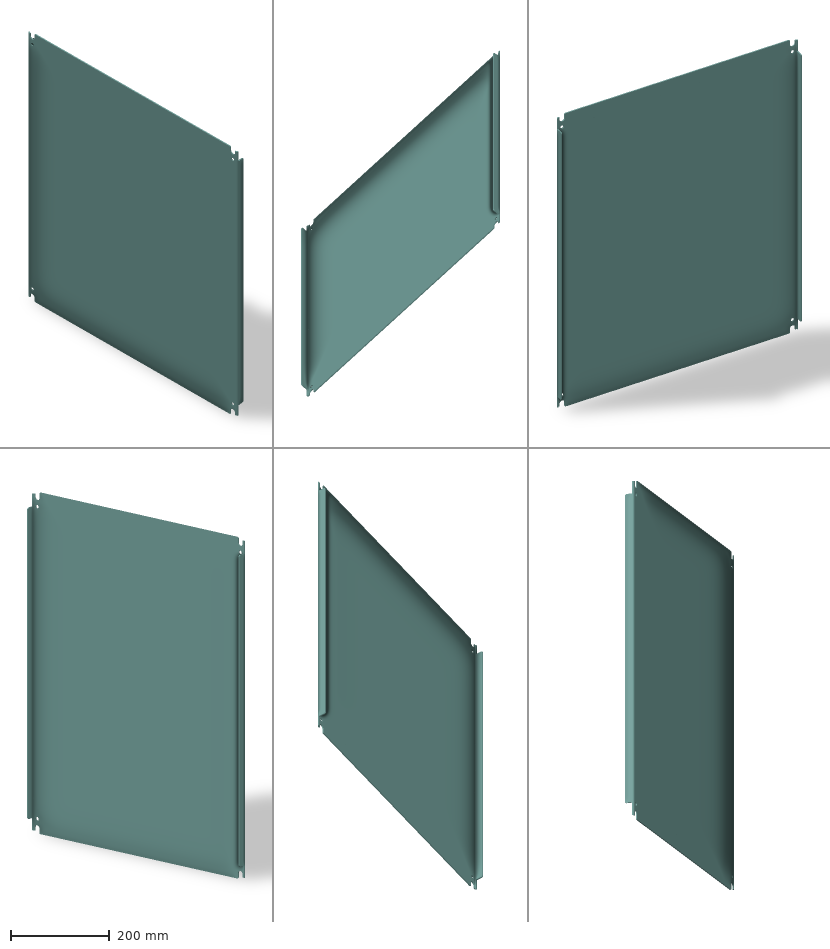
import cadquery as cq

width = 563.0
depth = 19.0
height = 715.5

sheet = 2.5
bend_radius = 3.9
inner_radius = bend_radius - sheet
edge_step = 5.0
flange_inset = 31.5
flange_corner = 3.5
panel_corner = 2.0

notch_inset = 12.0
notch_width = 12.0
notch_depth = 17.0
hole_inset = 31.0
hole_diameter = 8.0

half_width = width / 2
half_height = height / 2
half_depth = depth / 2
front = -half_depth
notch_radius = notch_width / 2
notch_x = half_width - notch_inset
panel_half_width = notch_x - notch_radius
edge_height = height - 2 * edge_step
flange_height = height - 2 * flange_inset
bend_x = half_width - bend_radius
bend_y = front + bend_radius


def make_panel():
    """Flat panel: full-height middle and slightly shorter side strips."""
    strips = cq.Workplane("XY").box(2 * bend_x, sheet, edge_height)
    middle = cq.Workplane("XY").box(2 * panel_half_width, sheet, height)
    middle = middle.edges("|Y").fillet(panel_corner)
    return strips.union(middle).translate((0, front + sheet / 2, 0))


def make_bend():
    """Quarter-round bend along the +X edge."""
    ring = (
        cq.Workplane("XY")
        .center(bend_x, bend_y)
        .circle(bend_radius)
        .circle(inner_radius)
        .extrude(edge_height / 2, both=True)
    )
    quadrant = (
        cq.Workplane("XY")
        .box(bend_radius, bend_radius, edge_height, centered=(False, False, True))
        .translate((bend_x, front, 0))
    )
    return ring.intersect(quadrant)


def make_flange():
    """Rearward flange along the +X edge, with rounded free corners."""
    flange = (
        cq.Workplane("XY")
        .box(sheet, half_depth - bend_y, flange_height, centered=(True, False, True))
        .translate((half_width - sheet / 2, bend_y, 0))
    )
    return flange.faces(">Y").edges("|X").fillet(flange_corner)


def cut_corner(body, side, end):
    """Cut the round-ended notch and the mounting hole at one corner."""
    x = side * notch_x
    center_z = half_height - notch_depth + notch_radius
    notch = (
        cq.Workplane("XZ")
        .moveTo(x - notch_radius, end * half_height)
        .lineTo(x - notch_radius, end * center_z)
        .threePointArc(
            (x, end * (half_height - notch_depth)),
            (x + notch_radius, end * center_z),
        )
        .lineTo(x + notch_radius, end * half_height)
        .close()
        .extrude(depth, both=True)
    )
    hole = (
        cq.Workplane("XZ")
        .center(x, end * (half_height - hole_inset))
        .circle(hole_diameter / 2)
        .extrude(depth, both=True)
    )
    return body.cut(notch).cut(hole)


folded_edge = make_bend().union(make_flange())
result = make_panel().union(folded_edge).union(folded_edge.mirror("YZ"))

for side in (-1, 1):
    for end in (-1, 1):
        result = cut_corner(result, side, end)